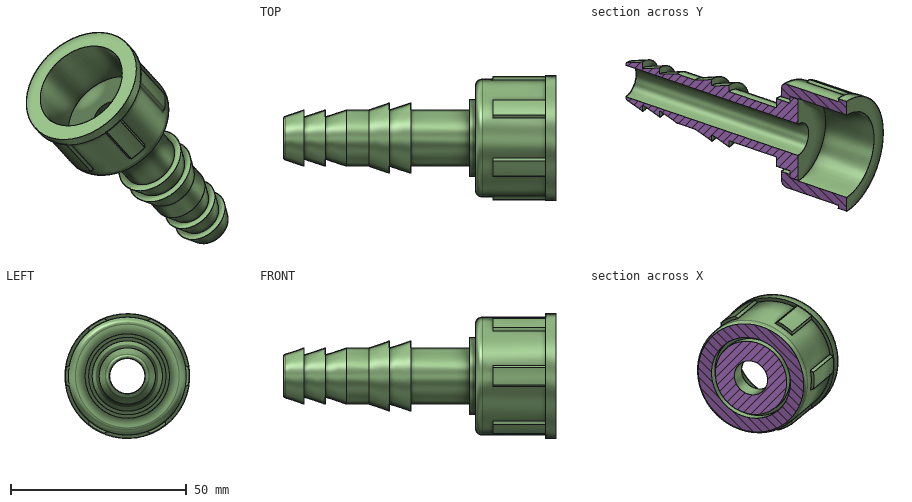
import cadquery as cq
import math

bore_radius = 10.01 / 2
stem_radius = 16 / 2
tip_round = 0.9
barb_pitch = 6.05
barb_height = 2.0
barb_root_radius = stem_radius - barb_height
first_barb_length = 5.9
large_barb_start = 24.35
large_barb_length = 5.85
large_barb_peak_radius = stem_radius + barb_height

shoulder_radius = 22 / 2
shoulder_start = 52.9

nut_start = 54.6
nut_end = 77.6
nut_radius = 33.5 / 2
nut_edge_round = 2.0
neck_radius = 24 / 2
neck_length = 3.0
thread_bore_radius = 26.44 / 2
rim_radius = 35.5 / 2
rim_length = 3.0
rim_start = nut_end - rim_length

collar_start = nut_start + neck_length
collar_length = 3.0

rib_count = 6
rib_start = 59.6
rib_embed = 1.0
rib_foot_radius = nut_radius - rib_embed
rib_base_half_width = 2.97
rib_top_radius = 17.58
rib_middle_radius = (nut_radius + rib_top_radius) / 2
rib_draft = 27

soft_rib_foot_round = 0.5
soft_rib_crest_round = 0.3


def tail_profile():
    """Half section of the hose tail, X along the axis and Y as the radius."""
    first_peak = first_barb_length
    second_peak = first_peak + barb_pitch
    third_peak = second_peak + barb_pitch
    large_first_peak = large_barb_start + large_barb_length
    large_second_peak = large_first_peak + barb_pitch
    return (
        cq.Workplane("XY")
        .moveTo(0, bore_radius)
        .lineTo(0, barb_root_radius)
        .lineTo(first_peak, stem_radius)
        .lineTo(first_peak, barb_root_radius)
        .lineTo(second_peak, stem_radius)
        .lineTo(second_peak, barb_root_radius)
        .lineTo(third_peak, stem_radius)
        .lineTo(large_barb_start, stem_radius)
        .lineTo(large_first_peak, large_barb_peak_radius)
        .lineTo(large_first_peak, stem_radius)
        .lineTo(large_second_peak, large_barb_peak_radius)
        .lineTo(large_second_peak, stem_radius)
        .lineTo(shoulder_start, stem_radius)
        .lineTo(shoulder_start, shoulder_radius)
        .lineTo(collar_start, shoulder_radius)
        .lineTo(collar_start, thread_bore_radius)
        .lineTo(collar_start + collar_length, thread_bore_radius)
        .lineTo(collar_start + collar_length, bore_radius)
        .close()
    )


def make_tail():
    tail = tail_profile().revolve(360, (0, 0, 0), (1, 0, 0))
    tip_edge = cq.selectors.RadiusNthSelector(-1)
    return tail.faces("<X").edges(tip_edge).fillet(tip_round)


def cylinder(radius, start, end):
    """Solid cylinder on the X axis."""
    return cq.Workplane("YZ").workplane(offset=start).circle(radius).extrude(end - start)


def make_rib(angle):
    """Drafted rib on the nut, centred at an angle from +Y, ending at the rim."""
    slope = math.tan(math.radians(rib_draft))
    base_level = math.sqrt(nut_radius**2 - rib_base_half_width**2)
    foot_half_width = rib_base_half_width + (base_level - rib_foot_radius) * slope
    top_half_width = rib_base_half_width - (rib_top_radius - base_level) * slope
    rib = (
        cq.Workplane("YZ")
        .workplane(offset=rib_start)
        .polyline([
            (rib_foot_radius, -foot_half_width),
            (rib_top_radius, -top_half_width),
            (rib_top_radius, top_half_width),
            (rib_foot_radius, foot_half_width),
        ])
        .close()
        .extrude(rim_start - rib_start)
    )
    rib = rib.intersect(cylinder(rib_top_radius, rib_start, rim_start))
    return rib.rotate((0, 0, 0), (1, 0, 0), angle)


def rib_edges(inner_level, outer_level):
    """Selector for edges of the +Y rib between two levels, except where it meets the rim."""
    margin = 0.1
    half_width = rib_base_half_width + margin
    return cq.selectors.BoxSelector(
        (rib_start - margin, inner_level, -half_width),
        (rim_start - margin, outer_level, half_width),
    )


def make_nut():
    nut = cylinder(nut_radius, nut_start, nut_end)
    nut = nut.faces("<X").edges().fillet(nut_edge_round)
    nut = nut.union(cylinder(rim_radius, rim_start, nut_end))
    soft_rib = make_rib(0)
    soft_rib = soft_rib.edges(rib_edges(rib_middle_radius, rib_top_radius)).fillet(soft_rib_crest_round)
    nut = nut.union(soft_rib)
    nut = nut.edges(rib_edges(rib_foot_radius, nut_radius)).fillet(soft_rib_foot_round)
    for index in range(1, rib_count):
        nut = nut.union(make_rib(index * 360 / rib_count))
    nut = nut.cut(cylinder(neck_radius, nut_start, nut_end))
    return nut.cut(cylinder(thread_bore_radius, collar_start, nut_end))


tail = make_tail()
nut = make_nut()
result = cq.Compound.makeCompound([tail.val(), nut.val()])